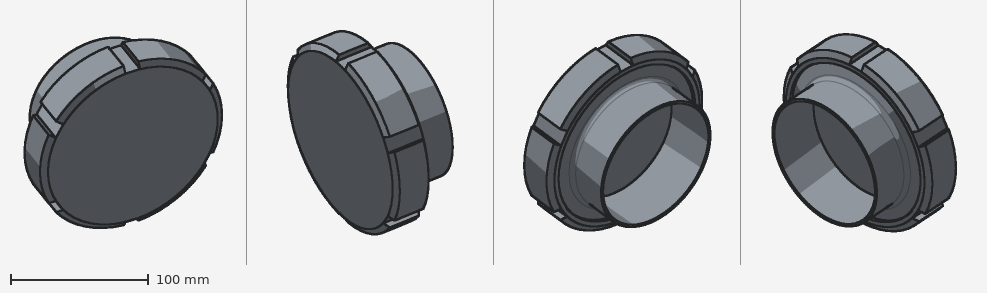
import cadquery as cq
import math

total_length = 63.5
nut_width = 31.1
nut_start = total_length - nut_width

tube_radius = 104.0 / 2
bore_radius = 100.0 / 2
bore_depth = 41.6

nut_radius = 74.0
chamfer_length = 3.0
chamfer_height = 5.0
slot_count = 6
slot_width = 12.0
slot_floor_radius = 68.8

recess_radius = 130.0 / 2
cone_angle = math.radians(15)
fillet_start = 28.5
fillet_radius = 4.0


def make_turned_body():
    """Revolve the tube, fillet, conical recess and chamfered nut about X."""
    fillet_center_x = fillet_start
    fillet_center_r = tube_radius + fillet_radius

    def fillet_point(angle):
        return (
            fillet_center_x + fillet_radius * math.sin(angle),
            fillet_center_r - fillet_radius * math.cos(angle),
        )

    fillet_sweep = math.pi / 2 - cone_angle
    fillet_end = fillet_point(fillet_sweep)
    recess_bottom = fillet_end[0] + (recess_radius - fillet_end[1]) * math.tan(cone_angle)
    face_radius = nut_radius - chamfer_height

    profile = (
        cq.Workplane("XY")
        .moveTo(bore_depth, 0)
        .lineTo(bore_depth, bore_radius)
        .lineTo(0, bore_radius)
        .lineTo(0, tube_radius)
        .lineTo(fillet_start, tube_radius)
        .threePointArc(fillet_point(fillet_sweep / 2), fillet_end)
        .lineTo(recess_bottom, recess_radius)
        .lineTo(nut_start, recess_radius)
        .lineTo(nut_start, face_radius)
        .lineTo(nut_start + chamfer_length, nut_radius)
        .lineTo(total_length - chamfer_length, nut_radius)
        .lineTo(total_length, face_radius)
        .lineTo(total_length, 0)
        .close()
    )
    return profile.revolve(360, (0, 0, 0), (1, 0, 0))


def cut_slots(body):
    """Cut evenly spaced flat-floored wrench slots, the first one at the top."""
    slot = cq.Workplane("XY").box(
        nut_width, slot_width, nut_radius, centered=(False, True, False)
    ).translate((nut_start, 0, slot_floor_radius))
    for index in range(slot_count):
        angle = index * 360 / slot_count
        body = body.cut(slot.rotate((0, 0, 0), (1, 0, 0), angle))
    return body


result = cut_slots(make_turned_body())